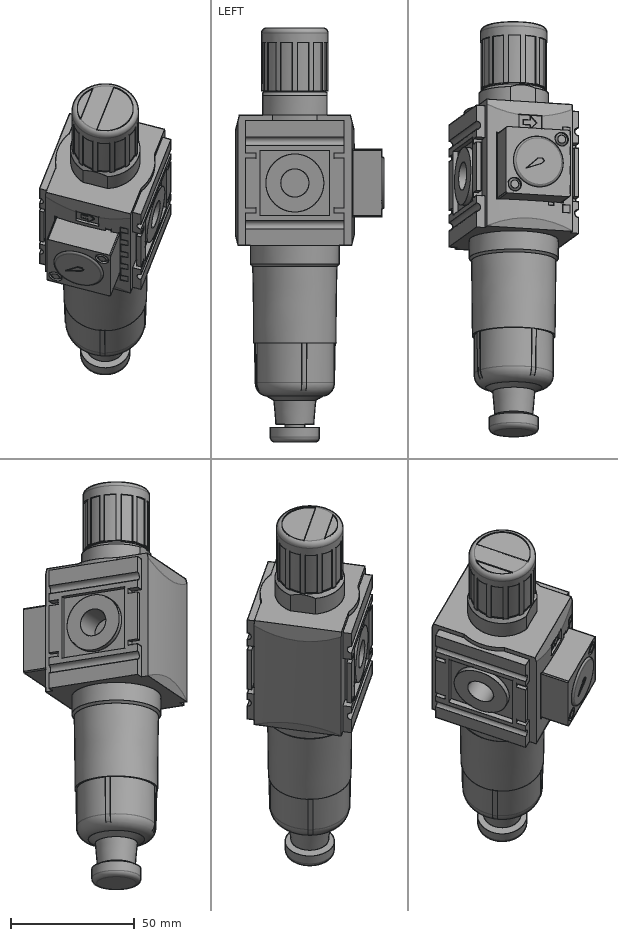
import cadquery as cq
import math


BUTTON_TOP = 6.0
NECK_BOTTOM = 7.2
NECK_TOP = 17.0
BOWL_BASE = 18.6
BOWL_ROUND_TOP = 24.1
SLEEVE_BOTTOM = 40.0
SLEEVE_TOP = 71.0
BODY_BOTTOM = 79.5
PLATE_TOP = 130.0
BODY_TOP = 132.2
COLLAR_TOP = 141.5
KNOB_BOTTOM = 142.0
FLUTE_TOP = 161.6
KNOB_TOP = 167.5
PORT_Z = (BODY_BOTTOM + PLATE_TOP) / 2

KNOB_DIAMETER = 27.0
KNOB_RADIUS = KNOB_DIAMETER / 2
KNOB_ROUND = 2.2
KNOB_STRIP_LEFT = -7.9
KNOB_STRIP_RIGHT = 0.0
KNOB_TOP_STEP = 0.5
FLUTE_COUNT = 12
FLUTE_ANGLE = 21.0
FLUTE_DEPTH = 0.59
KNOB_NECK_RADIUS = 12.5
COLLAR_RADIUS = 14.0
COLLAR_CHAMFER = 1.42
COLLAR_FLAT_Y = 13.0

BODY_WIDTH = 36.0
BODY_DEPTH = 48.0
BODY_BULGE_Y = BODY_DEPTH / 2
BODY_BULGE = 1.0
BODY_HALF_X = BODY_WIDTH / 2
BODY_EDGE_Y = BODY_BULGE_Y - BODY_BULGE
BODY_SLOPE = 0.25
BULGE_BOTTOM = 83.8
BULGE_TOP = 126.0
CAP_RADIUS = 20.1

PLATE_WIDTH = 43.0
PLATE_OUTER_X = PLATE_WIDTH / 2
PLATE_HALF_Y = 20.0
GROOVE_OFFSET_Z = 17.0
GROOVE_RADIUS = 1.7
CLIP_HALF_Z = 12.0
CLIP_DEPTH = 4.2
CLIP_INNER_Y = PLATE_HALF_Y - CLIP_DEPTH
TAB_HALF_Z = 10.0
TAB_THICKNESS = 1.8
PORT_POCKET_Y = 28.1
PORT_POCKET_Z = 26.3
PORT_POCKET_DEPTH = 2.2
PORT_BOSS_DIAMETER = 23.5
PORT_DIAMETER = 11.4
PORT_DEPTH = 13.4

GAUGE_WIDTH = 27.1
GAUGE_HEIGHT = 27.5
GAUGE_CHAMFER = 0.5
SOCKET_WIDTH = 28.1
SOCKET_FLOOR_Y = -23.1
BEZEL_DIAMETER = 21.0
BEZEL_HEIGHT = 0.92
BEZEL_ROUND = 0.8
TOTAL_DEPTH = 60.1
GAUGE_FRONT_Y = BODY_BULGE_Y + BEZEL_HEIGHT - TOTAL_DEPTH
SCREW_OFFSET = 9.9
SCREW_DIAMETER = 5.5
SCREW_TIP_DIAMETER = 3.4
SCREW_DEPTH = 1.2
NEEDLE_DEPTH = 0.3
NEEDLE_OUTLINE = [(-5.4, -3.2), (-1.0, 0.7), (-0.3, 1.3), (1.5, 1.3), (2.3, 0.3), (1.2, -0.8)]

NOTCH_X = 8.9
NOTCH_WIDTH = 2.3
NOTCH_REACH = 1.3
MARK_X = 15.4
MARK_SIZE = 3.2
MARK_PITCH = 8.0
MARK_COUNT = 5
ARROW_Z = 123.5
ARROW_POCKET_WIDTH = 9.7
ARROW_POCKET_HEIGHT = 6.0
ARROW_FLOOR_Y = -23.0
ARROW_HEIGHT = 0.5
ARROW_TAIL = -2.8
ARROW_NECK = 0.2
ARROW_TIP = 2.8
ARROW_HALF_SHAFT = 1.0
ARROW_HALF_HEAD = 2.7

BOWL_COLLAR_DIAMETER = 36.0
BOWL_COLLAR_RADIUS = BOWL_COLLAR_DIAMETER / 2
BOWL_COLLAR_CHAMFER = 1.0
SLEEVE_TOP_RADIUS = 17.1
SLEEVE_BOTTOM_RADIUS = 16.8
BOWL_DIAMETER = 32.0
BOWL_RADIUS = BOWL_DIAMETER / 2
BOWL_BASE_RADIUS = 11.4
BOWL_ROUND_MIDDLE_ANGLE = 40
NECK_TOP_RADIUS = 8.5
NECK_BOTTOM_RADIUS = 7.7
STEM_RADIUS = 4.0
BUTTON_DIAMETER = 20.0
BUTTON_RADIUS = BUTTON_DIAMETER / 2
BUTTON_ROUND = 2.0
RIB_COUNT = 4
RIB_WIDTH = 2.0
RIB_ANGLE = 13.5
RIB_TOP_RADIUS = 16.5
RIB_BOTTOM_RADIUS = 16.2
RIB_ROUND = 5.5
RIB_TIP_Z = 19.6
RIB_TIP_RADIUS = 13.7


def box(x_range, y_range, z_range):
    """Box spanning the given (low, high) ranges."""
    low, high = zip(x_range, y_range, z_range)
    size = [end - start for start, end in zip(low, high)]
    return cq.Workplane().box(*size, centered=False).translate(low)


def front_plane(y):
    """Sketch plane at the given Y, centred on the port height and facing -Y."""
    return cq.Workplane("XZ", origin=(0, y, PORT_Z))


def both_sides(shape):
    """The shape joined with its mirror image across the YZ plane."""
    return shape.union(shape.mirror("YZ"))


def make_bowl():
    """Turned bowl, drain neck and button, from the axis outward and upward."""
    middle = math.radians(BOWL_ROUND_MIDDLE_ANGLE)
    round_x = BOWL_RADIUS - BOWL_BASE_RADIUS
    round_z = BOWL_ROUND_TOP - BOWL_BASE
    round_middle = (
        BOWL_BASE_RADIUS + round_x * math.cos(middle),
        BOWL_ROUND_TOP - round_z * math.sin(middle),
    )
    return (
        cq.Workplane("XZ")
        .moveTo(0, 0)
        .lineTo(BUTTON_RADIUS - BUTTON_ROUND, 0)
        .radiusArc((BUTTON_RADIUS, BUTTON_ROUND), -BUTTON_ROUND)
        .lineTo(BUTTON_RADIUS, BUTTON_TOP)
        .lineTo(STEM_RADIUS, BUTTON_TOP)
        .lineTo(STEM_RADIUS, NECK_BOTTOM)
        .lineTo(NECK_BOTTOM_RADIUS, NECK_BOTTOM)
        .lineTo(NECK_TOP_RADIUS, NECK_TOP)
        .lineTo(BOWL_BASE_RADIUS, BOWL_BASE)
        .threePointArc(round_middle, (BOWL_RADIUS, BOWL_ROUND_TOP))
        .lineTo(BOWL_RADIUS, SLEEVE_BOTTOM)
        .lineTo(SLEEVE_BOTTOM_RADIUS, SLEEVE_BOTTOM)
        .lineTo(SLEEVE_TOP_RADIUS, SLEEVE_TOP)
        .lineTo(BOWL_COLLAR_RADIUS, SLEEVE_TOP + BOWL_COLLAR_CHAMFER)
        .lineTo(BOWL_COLLAR_RADIUS, BODY_BOTTOM)
        .lineTo(0, BODY_BOTTOM)
        .close()
        .revolve(360, (0, 0), (0, 1))
    )


def make_bowl_ribs():
    """Tapered ribs along the bowl that run out in its rounded base."""
    rib = (
        cq.Workplane("XZ")
        .moveTo(0, SLEEVE_BOTTOM)
        .lineTo(RIB_TOP_RADIUS, SLEEVE_BOTTOM)
        .lineTo(RIB_BOTTOM_RADIUS, BOWL_ROUND_TOP)
        .radiusArc((RIB_TIP_RADIUS, RIB_TIP_Z), RIB_ROUND)
        .lineTo(0, RIB_TIP_Z)
        .close()
        .extrude(RIB_WIDTH / 2, both=True)
    )
    ribs = cq.Workplane()
    for index in range(RIB_COUNT):
        angle = RIB_ANGLE + index * 360 / RIB_COUNT
        ribs = ribs.union(rib.rotate((0, 0, 0), (0, 0, 1), angle))
    return ribs


def make_body():
    """Block with bulged front and back, sloped at their upper and lower ends."""
    block = (
        cq.Workplane(origin=(0, 0, BODY_BOTTOM))
        .moveTo(-BODY_HALF_X, -BODY_EDGE_Y)
        .threePointArc((0, -BODY_BULGE_Y), (BODY_HALF_X, -BODY_EDGE_Y))
        .lineTo(BODY_HALF_X, BODY_EDGE_Y)
        .threePointArc((0, BODY_BULGE_Y), (-BODY_HALF_X, BODY_EDGE_Y))
        .close()
        .extrude(BODY_TOP - BODY_BOTTOM)
    )
    bottom_y = BODY_BULGE_Y - BODY_SLOPE * (BULGE_BOTTOM - BODY_BOTTOM)
    top_y = BODY_BULGE_Y - BODY_SLOPE * (BODY_TOP - BULGE_TOP)
    half_outline = [
        (bottom_y, BODY_BOTTOM),
        (BODY_BULGE_Y, BULGE_BOTTOM),
        (BODY_BULGE_Y, BULGE_TOP),
        (top_y, BODY_TOP),
    ]
    outline = half_outline + [(-y, z) for y, z in reversed(half_outline)]
    side_profile = cq.Workplane("YZ").polyline(outline).close().extrude(CAP_RADIUS, both=True)
    cap = cq.Workplane(origin=(0, 0, PLATE_TOP)).circle(CAP_RADIUS).extrude(BODY_TOP - PLATE_TOP)
    return block.intersect(side_profile).union(cap)


def make_plate():
    """Mounting plate on the +X side: grooves, clip corners and a recessed port boss."""
    x_range = (BODY_HALF_X, PLATE_OUTER_X)
    tab_inner_x = PLATE_OUTER_X - TAB_THICKNESS
    plate = box(x_range, (-PLATE_HALF_Y, PLATE_HALF_Y), (BODY_BOTTOM, PLATE_TOP))
    for side in (-1, 1):
        groove = (
            cq.Workplane("XZ", origin=(PLATE_OUTER_X, 0, PORT_Z + side * GROOVE_OFFSET_Z))
            .circle(GROOVE_RADIUS)
            .extrude(PLATE_HALF_Y, both=True)
        )
        plate = plate.cut(groove)
        y_range = sorted((side * CLIP_INNER_Y, side * PLATE_HALF_Y))
        plate = plate.cut(box(x_range, y_range, (PORT_Z - CLIP_HALF_Z, PORT_Z + CLIP_HALF_Z)))
        tab = box((tab_inner_x, PLATE_OUTER_X), y_range, (PORT_Z - TAB_HALF_Z, PORT_Z + TAB_HALF_Z))
        plate = plate.union(tab)
    pocket_floor = cq.Workplane("YZ", origin=(PLATE_OUTER_X - PORT_POCKET_DEPTH, 0, PORT_Z))
    pocket = pocket_floor.rect(PORT_POCKET_Y, PORT_POCKET_Z).extrude(PORT_POCKET_DEPTH)
    boss = pocket_floor.circle(PORT_BOSS_DIAMETER / 2).extrude(PORT_POCKET_DEPTH)
    return plate.cut(pocket).union(boss)


def make_port():
    """Blind port bore entering from the +X side."""
    start = cq.Workplane("YZ", origin=(PLATE_OUTER_X, 0, PORT_Z))
    return start.circle(PORT_DIAMETER / 2).extrude(-PORT_DEPTH)


def make_front_recesses():
    """Gauge socket with its notches and the column of small square pockets."""
    depth = BODY_BULGE_Y + SOCKET_FLOOR_Y
    plane = front_plane(SOCKET_FLOOR_Y)
    notch_height = GAUGE_HEIGHT + 2 * NOTCH_REACH
    recesses = plane.rect(SOCKET_WIDTH, GAUGE_HEIGHT).extrude(depth)
    recesses = recesses.union(plane.center(NOTCH_X, 0).rect(NOTCH_WIDTH, notch_height).extrude(depth))
    marks = (
        front_plane(SOCKET_FLOOR_Y)
        .center(MARK_X, 0)
        .rarray(1.7, MARK_PITCH, 1, MARK_COUNT)
        .rect(MARK_SIZE, MARK_SIZE)
        .extrude(depth)
    )
    return recesses.union(marks)


def make_arrow_pocket():
    """Rectangular pocket above the gauge around a raised flow arrow."""
    plane = cq.Workplane("XZ", origin=(0, ARROW_FLOOR_Y, ARROW_Z))
    pocket = plane.rect(ARROW_POCKET_WIDTH, ARROW_POCKET_HEIGHT).extrude(BODY_BULGE_Y + ARROW_FLOOR_Y)
    lower_half = [
        (ARROW_TAIL, -ARROW_HALF_SHAFT),
        (ARROW_NECK, -ARROW_HALF_SHAFT),
        (ARROW_NECK, -ARROW_HALF_HEAD),
    ]
    upper_half = [(x, -z) for x, z in reversed(lower_half)]
    outline = lower_half + [(ARROW_TIP, 0)] + upper_half
    return pocket.cut(plane.polyline(outline).close().extrude(ARROW_HEIGHT))


def make_gauge():
    """Square gauge housing with a round bezel, an engraved needle and two screws."""
    length = SOCKET_FLOOR_Y - GAUGE_FRONT_Y
    gauge = front_plane(SOCKET_FLOOR_Y).rect(GAUGE_WIDTH, GAUGE_HEIGHT).extrude(length)
    gauge = gauge.edges("|Y").chamfer(GAUGE_CHAMFER)

    bezel = front_plane(GAUGE_FRONT_Y).circle(BEZEL_DIAMETER / 2).extrude(BEZEL_HEIGHT)
    bezel = bezel.faces("<Y").edges().fillet(BEZEL_ROUND)
    needle_plane = front_plane(GAUGE_FRONT_Y - BEZEL_HEIGHT)
    needle = needle_plane.polyline(NEEDLE_OUTLINE).close().extrude(-NEEDLE_DEPTH)
    gauge = gauge.union(bezel).cut(needle)

    for side in (-1, 1):
        offset = side * SCREW_OFFSET
        plane = front_plane(GAUGE_FRONT_Y + SCREW_DEPTH).center(offset, offset)
        hole = plane.circle(SCREW_DIAMETER / 2).extrude(SCREW_DEPTH)
        head = cq.Solid.makeCone(
            SCREW_DIAMETER / 2,
            SCREW_TIP_DIAMETER / 2,
            SCREW_DEPTH,
            pnt=cq.Vector(offset, GAUGE_FRONT_Y + SCREW_DEPTH, PORT_Z + offset),
            dir=cq.Vector(0, -1, 0),
        )
        gauge = gauge.cut(hole.cut(cq.Workplane(head)))
    return gauge


def make_collar():
    """Round collar under the knob, chamfered on top, with flats on its -Y and +Y sides."""
    height = COLLAR_TOP - BODY_TOP
    collar = cq.Workplane(origin=(0, 0, BODY_TOP)).circle(COLLAR_RADIUS).extrude(height)
    collar = collar.faces(">Z").chamfer(COLLAR_CHAMFER)
    flats = box(
        (-COLLAR_RADIUS, COLLAR_RADIUS), (-COLLAR_FLAT_Y, COLLAR_FLAT_Y), (BODY_TOP, COLLAR_TOP)
    )
    return collar.intersect(flats)


def make_knob():
    """Fluted knob with a rounded rim and a raised strip across its recessed top."""
    knob = cq.Workplane(origin=(0, 0, KNOB_BOTTOM)).circle(KNOB_RADIUS).extrude(KNOB_TOP - KNOB_BOTTOM)
    knob = knob.faces(">Z").edges().fillet(KNOB_ROUND)

    face_radius = KNOB_RADIUS - KNOB_ROUND
    recess_z = (KNOB_TOP - KNOB_TOP_STEP, KNOB_TOP)
    strip = box((KNOB_STRIP_LEFT, KNOB_STRIP_RIGHT), (-face_radius, face_radius), recess_z)
    recess = cq.Workplane(origin=(0, 0, recess_z[0])).circle(face_radius).extrude(KNOB_TOP_STEP)
    knob = knob.cut(recess.cut(strip))

    inner = KNOB_RADIUS - FLUTE_DEPTH
    flute_pitch = 360 / FLUTE_COUNT
    half = math.radians(FLUTE_ANGLE / 2)
    flute = (
        cq.Workplane(origin=(0, 0, KNOB_BOTTOM))
        .moveTo(inner * math.cos(half), -inner * math.sin(half))
        .lineTo(KNOB_RADIUS * math.cos(half), -KNOB_RADIUS * math.sin(half))
        .threePointArc((KNOB_RADIUS, 0), (KNOB_RADIUS * math.cos(half), KNOB_RADIUS * math.sin(half)))
        .lineTo(inner * math.cos(half), inner * math.sin(half))
        .threePointArc((inner, 0), (inner * math.cos(half), -inner * math.sin(half)))
        .close()
        .extrude(FLUTE_TOP - KNOB_BOTTOM)
    )
    for index in range(FLUTE_COUNT):
        angle = (index + 0.5) * flute_pitch
        knob = knob.cut(flute.rotate((0, 0, 0), (0, 0, 1), angle))
    neck = cq.Workplane(origin=(0, 0, COLLAR_TOP)).circle(KNOB_NECK_RADIUS)
    return knob.union(neck.extrude(KNOB_BOTTOM - COLLAR_TOP))


body = make_body().union(both_sides(make_plate()))
body = body.cut(both_sides(make_port())).cut(make_front_recesses()).cut(make_arrow_pocket())
result = body.union(make_gauge()).union(make_bowl()).union(make_bowl_ribs())
result = result.union(make_collar()).union(make_knob())